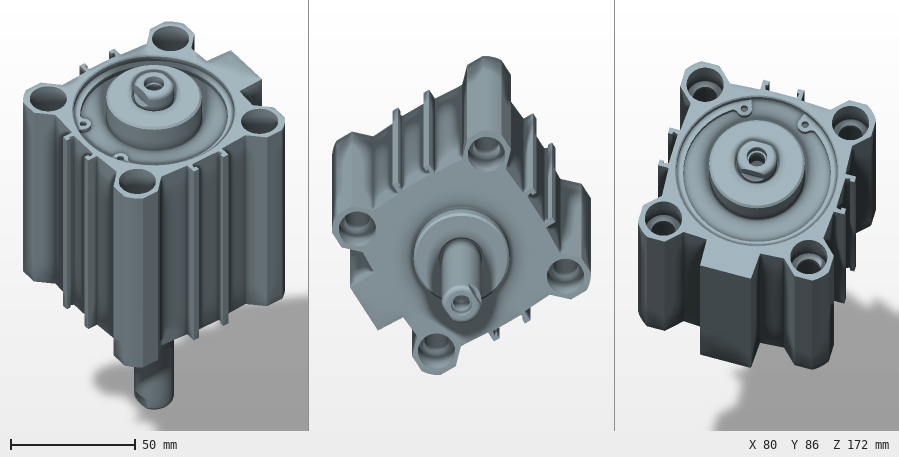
import cadquery as cq
import math


total_length = 172.0
housing_width = 80.0
housing_depth = 86.0
housing_height = 92.2
half_width = housing_width / 2

boss_center = 30.5
boss_arc_start = 34.5
boss_corner_radius = 15.5
boss_flat_start = 27.2
boss_root = 21.0
boss_root_depth = half_width - (boss_flat_start - boss_root)
bolt_hole_diameter = 9.8
bolt_bore_diameter = 15.0
bolt_bore_depth = 13.8

track_half_width = 8.6
track_wall_distance = 34.5
track_floor_distance = 35.1
track_top_distance = 39.0
track_floor_half_width = 6.5
track_undercut_distance = 36.6
track_undercut_half_width = 7.0
track_lip_distance = 37.2
track_mouth_half_width = 6.0

port_block_base_width = 22.4
port_block_top_width = 21.3
port_block_top = housing_depth - half_width

bore_diameter = 63.0
seat_diameter = 65.0
seat_chamfer = 0.5
ring_diameter = 68.3
ring_depth = 3.0
ring_thickness = 2.0
ring_top = housing_height - ring_depth
ring_bottom = ring_top - ring_thickness

ring_inner_diameter = 59.5
ring_gap_half_angle = 20.0
lug_radius = 3.1
lug_distance = 28.9
lug_hole_diameter = 3.0
lug_blend_radius = 2.0
lug_angle = ring_gap_half_angle + math.degrees(math.asin(lug_radius / lug_distance))

cover_thickness = 15.5
collar_diameter = 38.5
collar_projection = 7.7
collar_chamfer = 0.9
collar_base_fillet = 0.7
wiper_recess_diameter = 17.0
wiper_recess_depth = 1.5
wiper_recess_chamfer = 0.7

rod_diameter = 16.0
rod_upper_projection = 6.9
rod_end_fillet = 2.0
rod_across_flats = 12.7
rod_flat_length = 5.3
thread_rim_diameter = 8.6
thread_diameter = 8.3
thread_depth = 3.5
tap_drill_diameter = 6.7
tap_drill_depth = 12.0
drill_tip_height = 0.5

rod_top = housing_height + collar_projection + rod_upper_projection
rod_bottom = rod_top - total_length


def cylinder(diameter, bottom, top):
    return cq.Workplane("XY").workplane(offset=bottom).circle(diameter / 2).extrude(top - bottom)


def turned(profile):
    """Solid of revolution about Z from (radius, height) points."""
    return cq.Workplane("XZ").polyline(profile).close().revolve(360, (0, 0, 0), (0, 1, 0))


def turn(shape, angle):
    return shape.rotate((0, 0, 0), (0, 0, 1), angle)


def housing_core():
    """Block with four sides that rise slightly toward their middle."""
    side = [
        (boss_root_depth, -boss_root),
        (track_wall_distance, -track_half_width),
        (track_wall_distance, track_half_width),
        (boss_root_depth, boss_root),
    ]
    outline = list(side)
    for _ in range(3):
        side = [(-y, x) for x, y in side]
        outline += side
    return cq.Workplane("XY").polyline(outline).close().extrude(housing_height)


def corner_boss():
    """Boss at +X +Y, whose outer corner is a shallow arc."""
    return (
        cq.Workplane("XY")
        .moveTo(boss_root, boss_root_depth)
        .lineTo(boss_flat_start, half_width)
        .lineTo(boss_arc_start, half_width)
        .radiusArc((half_width, boss_arc_start), boss_corner_radius)
        .lineTo(half_width, boss_flat_start)
        .lineTo(boss_root_depth, boss_root)
        .close()
        .extrude(housing_height)
    )


def sensor_track():
    """Pair of hooked rails with a raised floor between them, on the +X side."""
    half_profile = [
        (boss_root_depth, 0),
        (track_floor_distance, 0),
        (track_floor_distance, track_floor_half_width),
        (track_undercut_distance, track_undercut_half_width),
        (track_lip_distance, track_undercut_half_width),
        (track_lip_distance, track_mouth_half_width),
        (track_top_distance, track_mouth_half_width),
        (track_top_distance, track_half_width),
        (boss_root_depth, track_half_width),
    ]
    half = cq.Workplane("XY").polyline(half_profile).close().extrude(housing_height)
    return half.union(half.mirror("XZ"))


def port_block():
    outline = [
        (-port_block_base_width / 2, boss_root_depth),
        (port_block_base_width / 2, boss_root_depth),
        (port_block_top_width / 2, port_block_top),
        (-port_block_top_width / 2, port_block_top),
    ]
    return cq.Workplane("XY").polyline(outline).close().extrude(housing_height)


def bolt_hole():
    """Through hole at +X +Y with a wider bore at both ends."""
    hole = cylinder(bolt_hole_diameter, 0, housing_height)
    hole = hole.union(cylinder(bolt_bore_diameter, 0, bolt_bore_depth))
    hole = hole.union(cylinder(bolt_bore_diameter, housing_height - bolt_bore_depth, housing_height))
    return hole.translate((boss_center, boss_center, 0))


def housing_cavity():
    """Bore, upper cover seat with chamfered mouth, and ring groove."""
    bore_radius = bore_diameter / 2
    seat_radius = seat_diameter / 2
    groove_radius = ring_diameter / 2
    return turned([
        (0, 0),
        (bore_radius, 0),
        (bore_radius, ring_bottom - cover_thickness),
        (seat_radius, ring_bottom - cover_thickness),
        (seat_radius, ring_bottom),
        (groove_radius, ring_bottom),
        (groove_radius, ring_top),
        (seat_radius, ring_top),
        (seat_radius, housing_height - seat_chamfer),
        (seat_radius + seat_chamfer, housing_height),
        (0, housing_height),
    ])


def make_housing():
    body = housing_core().union(port_block())
    for angle in (0, 180, 270):
        body = body.union(turn(sensor_track(), angle))
    for angle in (0, 90, 180, 270):
        body = body.union(turn(corner_boss(), angle))
    for angle in (0, 90, 180, 270):
        body = body.cut(turn(bolt_hole(), angle))
    return body.cut(housing_cavity())


def make_cover(plate_diameter, plate_face, collar_end):
    """Plate with a collar on its +Z face and a hole that fits the rod."""
    plate = cylinder(plate_diameter, plate_face - cover_thickness, plate_face)
    collar = cylinder(collar_diameter, plate_face, collar_end).faces(">Z").chamfer(collar_chamfer)
    cover = plate.union(collar)
    base_edge = cq.selectors.BoxSelector(
        (-collar_diameter, -collar_diameter, plate_face - collar_base_fillet / 2),
        (collar_diameter, collar_diameter, plate_face + collar_base_fillet / 2),
    )
    cover = cover.edges(base_edge).edges(cq.selectors.RadiusNthSelector(0)).fillet(collar_base_fillet)
    recess_radius = wiper_recess_diameter / 2
    rod_hole = turned([
        (0, plate_face - cover_thickness),
        (rod_diameter / 2, plate_face - cover_thickness),
        (rod_diameter / 2, collar_end - wiper_recess_depth),
        (recess_radius, collar_end - wiper_recess_depth),
        (recess_radius, collar_end - wiper_recess_chamfer),
        (recess_radius + wiper_recess_chamfer, collar_end),
        (0, collar_end),
    ])
    return cover.cut(rod_hole)


def make_upper_cover():
    return make_cover(seat_diameter, ring_bottom, housing_height + collar_projection)


def make_lower_cover():
    """Cover flush with the housing underside, with its collar pointing down."""
    return make_cover(bore_diameter, 0, collar_projection).mirror("XY")


def make_retaining_ring():
    ring = cylinder(ring_diameter, ring_bottom, ring_top)
    ring = ring.cut(cylinder(ring_inner_diameter, ring_bottom, ring_top))

    gap_x = ring_diameter * math.sin(math.radians(ring_gap_half_angle))
    gap_y = -ring_diameter * math.cos(math.radians(ring_gap_half_angle))
    gap = (
        cq.Workplane("XY")
        .workplane(offset=ring_bottom)
        .polyline([(0, 0), (-gap_x, gap_y), (gap_x, gap_y)])
        .close()
        .extrude(ring_thickness)
    )
    lug_x = lug_distance * math.sin(math.radians(lug_angle))
    lug_y = -lug_distance * math.cos(math.radians(lug_angle))
    lug = cylinder(2 * lug_radius, ring_bottom, ring_top)
    lug_hole = cylinder(lug_hole_diameter, ring_bottom, ring_top)

    for x in (-lug_x, lug_x):
        ring = ring.union(lug.translate((x, lug_y, 0)))
    for side in (-1, 1):
        blend_edge = cq.selectors.NearestToPointSelector(
            (side * (lug_x + lug_radius), lug_y + lug_radius / 2, (ring_top + ring_bottom) / 2)
        )
        ring = ring.edges("|Z").edges(blend_edge).fillet(lug_blend_radius)
    ring = ring.cut(gap)
    for x in (-lug_x, lug_x):
        ring = ring.cut(lug_hole.translate((x, lug_y, 0)))
    return ring


def rod_end_flat():
    """Cut that leaves a flat on the +Y side of the top end, with a 45 degree run-out."""
    flat_y = rod_across_flats / 2
    rod_radius = rod_diameter / 2
    flat_bottom = rod_top - rod_flat_length
    outline = [
        (flat_y, rod_top),
        (flat_y, flat_bottom),
        (rod_radius, flat_bottom - (rod_radius - flat_y)),
        (rod_radius, rod_top),
    ]
    return cq.Workplane("YZ").polyline(outline).close().extrude(rod_radius, both=True)


def rod_end_thread():
    """Tapped hole in the top end, with a chamfered rim and a drill point."""
    rim_chamfer = (thread_rim_diameter - thread_diameter) / 2
    drill_bottom = rod_top - tap_drill_depth
    return turned([
        (0, rod_top),
        (thread_rim_diameter / 2, rod_top),
        (thread_diameter / 2, rod_top - rim_chamfer),
        (thread_diameter / 2, rod_top - thread_depth),
        (tap_drill_diameter / 2, rod_top - thread_depth),
        (tap_drill_diameter / 2, drill_bottom),
        (0, drill_bottom - drill_tip_height),
    ])


def make_rod():
    """Round rod with the same flats and tapped hole at both ends."""
    rod = cylinder(rod_diameter, rod_bottom, rod_top).faces("<Z or >Z").edges().fillet(rod_end_fillet)
    middle = (0, 0, (rod_top + rod_bottom) / 2)
    end_cuts = [rod_end_thread(), rod_end_flat(), turn(rod_end_flat(), 180)]
    for end_cut in end_cuts:
        rod = rod.cut(end_cut)
        rod = rod.cut(end_cut.mirror("XY", middle))
    return rod


housing = make_housing()
upper_cover = make_upper_cover()
lower_cover = make_lower_cover()
retaining_ring = make_retaining_ring()
rod = make_rod()

result = cq.Compound.makeCompound([
    housing.val(),
    upper_cover.val(),
    lower_cover.val(),
    retaining_ring.val(),
    rod.val(),
])